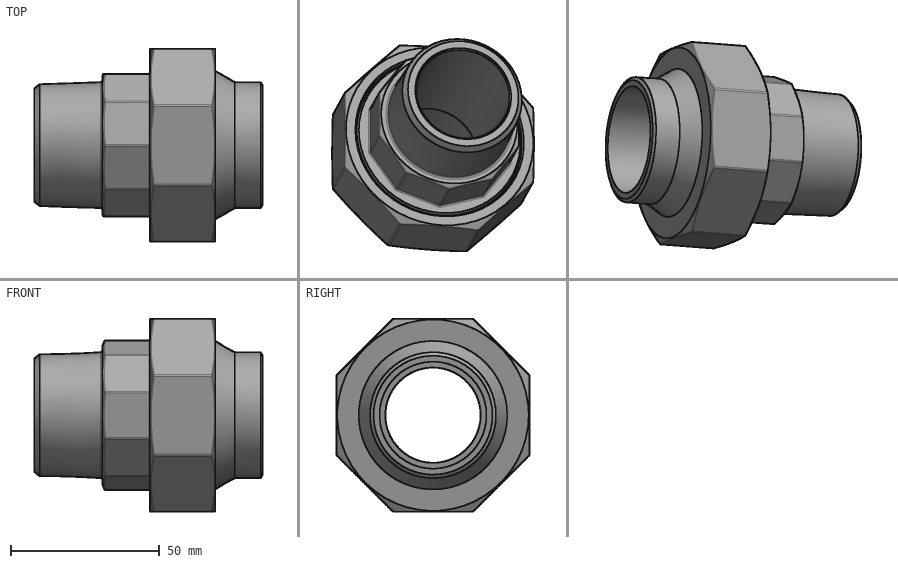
import cadquery as cq
import math

TOTAL_LENGTH = 77.0

MALE_BORE_DIA = 32.0
MALE_BORE_CHAMFER = 0.5
MALE_TIP_DIA = 38.0
MALE_TIP_CHAMFER_LENGTH = 1.85
TAPER_SMALL_DIA = 41.1
TAPER_LARGE_DIA = 42.5
TAPER_ROOT_FILLET = 0.7

DECAGON_SIDES = 10
DECAGON_ACROSS_FLATS = 48.0
DECAGON_START_X = 23.0
DECAGON_CORNER_RADIUS = 1.0
DECAGON_FACE_DIA = 46.8
DECAGON_CHAMFER_ANGLE = 22.0
DECAGON_ROOT_FILLET = 0.5
DECAGON_EDGE_FILLET = 0.4

NUT_SIDES = 8
NUT_ACROSS_FLATS = 65.0
NUT_START_X = 39.0
NUT_LENGTH = 22.0
NUT_END_X = NUT_START_X + NUT_LENGTH
NUT_CORNER_RADIUS = 1.0
NUT_FACE_DIA = 64.4
NUT_CHAMFER_ANGLE = 22.0
NUT_EDGE_FILLET = 0.3
NUT_MOUTH_DIA = 58.0
NUT_LIP_THICKNESS = 4.0
NUT_LIP_X = NUT_END_X - NUT_LIP_THICKNESS

JOINT_DIA = 56.8
COLLAR_FACE_DIA = 55.5
FLANGE_THICKNESS = 3.0
JOINT_FACE_X = NUT_LIP_X - FLANGE_THICKNESS

WELD_BORE_DIA = 36.0
WELD_PIPE_DIA = 42.4
WELD_NECK_DIA = 50.0
WELD_CONE_ANGLE = 30.0
WELD_CONE_LENGTH = (WELD_NECK_DIA - WELD_PIPE_DIA) / 2 / math.tan(math.radians(WELD_CONE_ANGLE))
WELD_TIP_DIA = 40.0
WELD_BEVEL_LENGTH = 0.75


def turned(profile):
    """Revolve (x, diameter) corner points about the X axis; the outline closes along its last edge."""
    points = [(x, diameter / 2) for x, diameter in profile]
    return cq.Workplane("XY").polyline(points).close().revolve(360, (0, 0, 0), (1, 0, 0))


def rounded_prism(sides, across_flats, corner_radius, start_x, end_x):
    """Regular prism along X with flats facing +Y and -Y and rounded lengthwise corners."""
    corner_dia = across_flats / math.cos(math.pi / sides)
    return (
        cq.Workplane("YZ", origin=(start_x, 0, 0))
        .transformed(rotate=(0, 0, 180 / sides))
        .polygon(sides, corner_dia)
        .extrude(end_x - start_x)
        .edges("|X")
        .fillet(corner_radius)
    )


def chamfer_envelope(face_dia, angle, outer_dia, start_x, end_x, both_ends):
    """Turned blank whose conical ends trim the corners of a prism."""
    cone_length = (outer_dia - face_dia) / 2 * math.tan(math.radians(angle))
    profile = [(start_x, 0), (start_x, face_dia), (start_x + cone_length, outer_dia)]
    if both_ends:
        profile += [(end_x - cone_length, outer_dia), (end_x, face_dia)]
    else:
        profile += [(end_x, outer_dia)]
    profile += [(end_x, 0)]
    return turned(profile)


def round_chamfer_borders(prism, radius):
    """Round the borders between the conical end chamfers of a prism and its sides."""
    return prism.faces("%CONE").edges("%HYPERBOLA or %BSPLINE").fillet(radius)


def make_decagon():
    prism = rounded_prism(
        DECAGON_SIDES, DECAGON_ACROSS_FLATS, DECAGON_CORNER_RADIUS, DECAGON_START_X, NUT_START_X
    )
    corner_dia = DECAGON_ACROSS_FLATS / math.cos(math.pi / DECAGON_SIDES)
    blank = chamfer_envelope(
        DECAGON_FACE_DIA, DECAGON_CHAMFER_ANGLE, corner_dia, DECAGON_START_X, NUT_START_X, False
    )
    return round_chamfer_borders(prism.intersect(blank), DECAGON_EDGE_FILLET)


def make_threaded_collar():
    rim_chamfer = (JOINT_DIA - COLLAR_FACE_DIA) / 2
    return turned([
        (NUT_START_X, 0),
        (NUT_START_X, COLLAR_FACE_DIA),
        (NUT_START_X + rim_chamfer, JOINT_DIA),
        (JOINT_FACE_X, JOINT_DIA),
        (JOINT_FACE_X, 0),
    ])


def make_spigot():
    return turned([
        (0, 0),
        (0, MALE_TIP_DIA),
        (MALE_TIP_CHAMFER_LENGTH, TAPER_SMALL_DIA),
        (DECAGON_START_X, TAPER_LARGE_DIA),
        (DECAGON_START_X, 0),
    ])


def make_male_bore():
    return turned([
        (0, 0),
        (0, MALE_BORE_DIA + 2 * MALE_BORE_CHAMFER),
        (MALE_BORE_CHAMFER, MALE_BORE_DIA),
        (JOINT_FACE_X, MALE_BORE_DIA),
        (JOINT_FACE_X, 0),
    ])


def edges_around(body, x, dia):
    """Edges lying in the plane at x, inside a square as wide as the given diameter."""
    radius = dia / 2
    margin = 0.1
    low_corner = (x - margin, -radius, -radius)
    high_corner = (x + margin, radius, radius)
    return body.edges(cq.selectors.BoxSelector(low_corner, high_corner, boundingbox=True))


def make_male_end():
    body = make_threaded_collar().union(make_decagon())
    between_decagon_and_rim = (DECAGON_ACROSS_FLATS + COLLAR_FACE_DIA) / 2
    body = edges_around(body, NUT_START_X, between_decagon_and_rim).fillet(DECAGON_ROOT_FILLET)
    body = body.union(make_spigot())
    between_taper_and_face_rim = (TAPER_LARGE_DIA + DECAGON_FACE_DIA) / 2
    body = edges_around(body, DECAGON_START_X, between_taper_and_face_rim).fillet(TAPER_ROOT_FILLET)
    return body.cut(make_male_bore())


def make_union_nut():
    prism = rounded_prism(NUT_SIDES, NUT_ACROSS_FLATS, NUT_CORNER_RADIUS, NUT_START_X, NUT_END_X)
    corner_dia = NUT_ACROSS_FLATS / math.cos(math.pi / NUT_SIDES)
    body = prism.intersect(chamfer_envelope(
        NUT_FACE_DIA, NUT_CHAMFER_ANGLE, corner_dia, NUT_START_X, NUT_END_X, True
    ))
    mouth_chamfer = (NUT_MOUTH_DIA - JOINT_DIA) / 2
    cavity = turned([
        (NUT_START_X, 0),
        (NUT_START_X, NUT_MOUTH_DIA),
        (NUT_START_X + mouth_chamfer, JOINT_DIA),
        (NUT_LIP_X, JOINT_DIA),
        (NUT_LIP_X, WELD_NECK_DIA),
        (NUT_END_X, WELD_NECK_DIA),
        (NUT_END_X, 0),
    ])
    body = round_chamfer_borders(body, NUT_EDGE_FILLET)
    return body.cut(cavity)


def make_weld_end():
    cone_end_x = NUT_END_X + WELD_CONE_LENGTH
    return turned([
        (JOINT_FACE_X, WELD_BORE_DIA),
        (JOINT_FACE_X, JOINT_DIA),
        (NUT_LIP_X, JOINT_DIA),
        (NUT_LIP_X, WELD_NECK_DIA),
        (NUT_END_X, WELD_NECK_DIA),
        (cone_end_x, WELD_PIPE_DIA),
        (TOTAL_LENGTH - WELD_BEVEL_LENGTH, WELD_PIPE_DIA),
        (TOTAL_LENGTH, WELD_TIP_DIA),
        (TOTAL_LENGTH, WELD_BORE_DIA),
    ])


male_end = make_male_end()
union_nut = make_union_nut()
weld_end = make_weld_end()

result = cq.Compound.makeCompound([male_end.val(), union_nut.val(), weld_end.val()])